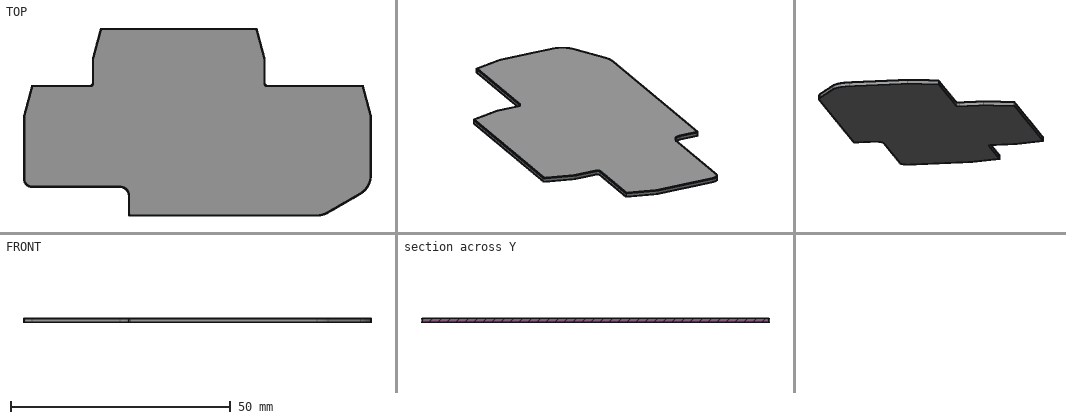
import cadquery as cq
import math

length = 79.04
width = 42.62
thickness = 1.0
top_chamfer = 0.15

tab_left = 15.65
tab_right = 54.85
shoulder_y = 29.6
taper_height = 6.9
taper_angle = 15.0
taper_inset = taper_height * math.tan(math.radians(taper_angle))
tab_root_radius = 0.6
tab_tip_radius = 0.3

step_x = 23.85
step_y = 6.55
arm_end_radius = 1.8
step_radius = 2.0
foot_radius = 0.4

slope_angle = 30.0
slope_start_x = 68.0
slope_end_y = (length - slope_start_x) * math.tan(math.radians(slope_angle))
slope_radius = 5.0


def plate_blank():
    """Flat plate with tapered shoulders and sharp corners, lower left of its bounding box at the origin."""
    outline = [
        (step_x, 0),
        (slope_start_x, 0),
        (length, slope_end_y),
        (length, shoulder_y - taper_height),
        (length - taper_inset, shoulder_y),
        (tab_right, shoulder_y),
        (tab_right, width - taper_height),
        (tab_right - taper_inset, width),
        (tab_left + taper_inset, width),
        (tab_left, width - taper_height),
        (tab_left, shoulder_y),
        (taper_inset, shoulder_y),
        (0, shoulder_y - taper_height),
        (0, step_y),
        (step_x, step_y),
    ]
    return cq.Workplane("XY").polyline(outline).close().extrude(thickness)


def round_corner(plate, x, y, radius):
    """Round the vertical edge of the plate that stands at (x, y)."""
    edge = cq.selectors.NearestToPointSelector((x, y, thickness / 2))
    return plate.edges("|Z").edges(edge).fillet(radius)


rounded_corners = [
    (0, step_y, arm_end_radius),
    (step_x, step_y, step_radius),
    (slope_start_x, 0, slope_radius),
    (length, slope_end_y, slope_radius),
    (tab_left, shoulder_y, tab_root_radius),
    (tab_right, shoulder_y, tab_root_radius),
    (tab_left + taper_inset, width, tab_tip_radius),
    (tab_right - taper_inset, width, tab_tip_radius),
    (step_x, 0, foot_radius),
]

plate = plate_blank()
for corner_x, corner_y, corner_radius in rounded_corners:
    plate = round_corner(plate, corner_x, corner_y, corner_radius)

result = plate.faces(">Z").chamfer(top_chamfer)